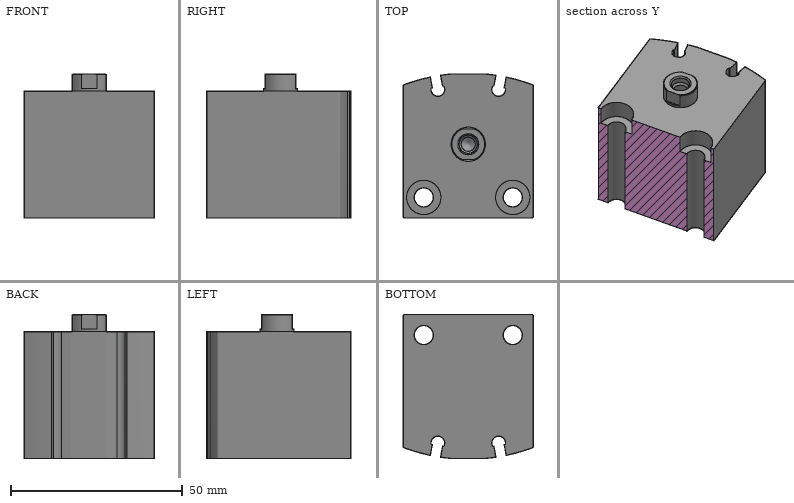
import cadquery as cq
import math

width = 38.0
depth = 42.0
total_height = 42.0
rod_projection = 5.0
block_height = total_height - rod_projection
corner_radius = 0.45

crown_radius = 54.0
crown_trim = 0.25

mount_x = 12.98
mount_y = 6.0
mount_diameter = 5.5
counterbore_diameter = 10.0
counterbore_depth = 5.7

slot_x = 8.85
slot_y = 37.45
slot_diameter = 3.9
neck_width = 3.0
slot_tilt = 10.0
ledge_offset = 0.7
neck_length = 8.4

rod_y = 21.5
rod_diameter = 10.0
rod_insertion = 21.0
rod_chamfer = 0.2
flat_spacing = 9.0
flat_height = 4.25

mouth_diameter = 6.15
relief_diameter = 5.3
core_diameter = 4.1
relief_end = 2.1
core_end = 10.1
drill_point_angle = 118.0


def make_outline():
    """Block with straight sides and a crowned back."""
    half_width = width / 2
    centre_y = depth + crown_trim - crown_radius
    side_depth = centre_y + math.sqrt(crown_radius**2 - half_width**2)
    crown_peak = depth + crown_trim
    crowned = (
        cq.Workplane("XY")
        .moveTo(-half_width, 0)
        .lineTo(half_width, 0)
        .lineTo(half_width, side_depth)
        .threePointArc((0, crown_peak), (-half_width, side_depth))
        .close()
        .extrude(block_height)
        .edges("|Z")
        .fillet(corner_radius)
    )
    envelope = cq.Workplane("XY").box(width, depth, block_height, centered=(True, False, False))
    return crowned.intersect(envelope)


def make_slot(side):
    """Slot cutter on the given side (-1 or 1); the neck leans outward towards the back."""
    channel = cq.Workplane("XY").circle(slot_diameter / 2).extrude(block_height)
    below_ledges = cq.Workplane("XY").rect(slot_diameter, slot_diameter).extrude(block_height)
    channel = channel.intersect(below_ledges.translate((0, ledge_offset - slot_diameter / 2, 0)))
    neck = cq.Workplane("XY").rect(neck_width, neck_length).extrude(block_height)
    neck = neck.translate((0, neck_length / 2, 0))
    cutter = channel.union(neck).rotate((0, 0, 0), (0, 0, 1), -side * slot_tilt)
    return cutter.translate((side * slot_x, slot_y, 0))


def make_rod_blank():
    """Plain cylinder of the rod, also the shape of its recess in the housing."""
    return (
        cq.Workplane("XY", origin=(0, rod_y, block_height - rod_insertion))
        .circle(rod_diameter / 2)
        .extrude(rod_insertion + rod_projection)
    )


def make_housing():
    housing = (
        make_outline()
        .faces(">Z")
        .workplane(origin=(0, 0, block_height))
        .pushPoints([(-mount_x, mount_y), (mount_x, mount_y)])
        .cboreHole(mount_diameter, counterbore_diameter, counterbore_depth)
    )
    for side in (-1, 1):
        housing = housing.cut(make_slot(side))
    return housing.cut(make_rod_blank())


def make_threaded_hole():
    """Revolved cutter, stepping down from the rod end; both upper cones are at 45 degrees."""
    mouth = mouth_diameter / 2
    relief = relief_diameter / 2
    core = core_diameter / 2
    countersink_end = mouth - relief
    cone_end = relief_end + relief - core
    tip = core_end + core / math.tan(math.radians(drill_point_angle / 2))
    return (
        cq.Workplane("XZ")
        .polyline(
            [
                (0, 0),
                (mouth, 0),
                (relief, -countersink_end),
                (relief, -relief_end),
                (core, -cone_end),
                (core, -core_end),
                (0, -tip),
            ]
        )
        .close()
        .revolve(360, (0, 0, 0), (0, 1, 0))
        .translate((0, rod_y, total_height))
    )


def make_rod():
    rod = make_rod_blank().faces(">Z").chamfer(rod_chamfer)
    flat_depth = (rod_diameter - flat_spacing) / 2
    for side in (-1, 1):
        flat_y = rod_y + side * (flat_spacing + flat_depth) / 2
        flat_cutter = cq.Workplane("XY").box(rod_diameter, flat_depth, flat_height)
        rod = rod.cut(flat_cutter.translate((0, flat_y, total_height - flat_height / 2)))
    return rod.cut(make_threaded_hole())


housing = make_housing()
rod = make_rod()

result = cq.Compound.makeCompound([housing.val(), rod.val()])